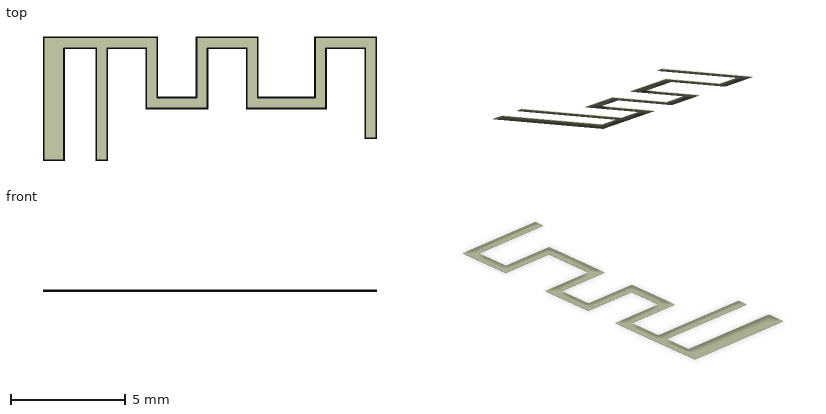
import cadquery as cq

length = 14.6
height = 5.4
thickness = 0.03

trace_width = 0.5
ground_leg_width = 0.9

meander_depth = 3.14
end_leg_depth = 4.44

feed_leg_x = 2.3
meander_leg_x = [4.5, 6.7, 8.9, 11.9]
end_leg_x = length - trace_width


def strip(x_start, x_end, top_depth, bottom_depth):
    """Flat rectangle between two X positions and two depths below the top edge."""
    return cq.Workplane("XY").box(
        x_end - x_start, bottom_depth - top_depth, thickness, centered=False
    ).translate((x_start, height - bottom_depth, 0))


def leg(x_start, depth, width=trace_width):
    """Vertical leg hanging from the top edge."""
    return strip(x_start, x_start + width, 0, depth)


def crossbar(left_leg_x, right_leg_x, bottom_depth):
    """Horizontal run covering the full width of the legs it joins."""
    return strip(left_leg_x, right_leg_x + trace_width, bottom_depth - trace_width, bottom_depth)


result = leg(0, height, ground_leg_width)
result = result.union(leg(feed_leg_x, height))

run_x = [0] + meander_leg_x + [end_leg_x]
for x in meander_leg_x:
    result = result.union(leg(x, meander_depth))
for index in range(len(run_x) - 1):
    bottom_depth = trace_width if index % 2 == 0 else meander_depth
    result = result.union(crossbar(run_x[index], run_x[index + 1], bottom_depth))

result = result.union(leg(end_leg_x, end_leg_depth)).clean()